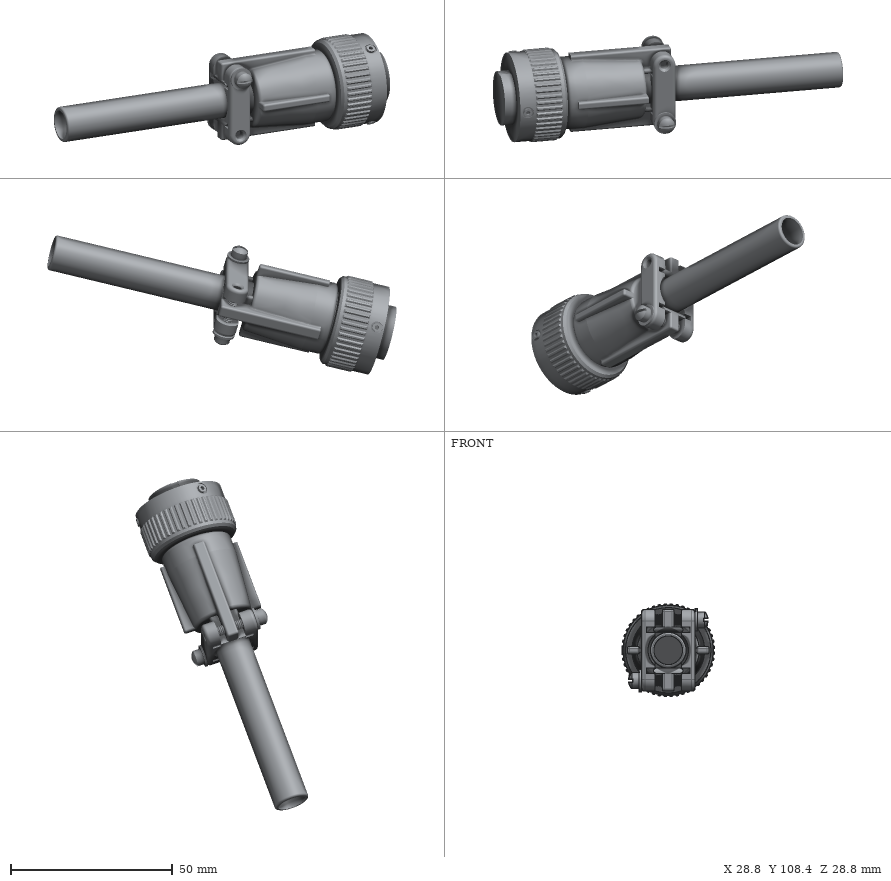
import cadquery as cq
import math


PLUG_RADIUS = 8.5
NUT_START = 3.6
KEYWAY_WIDTH = 2.3
KEYWAY_DEPTH = 0.4
NUT_RADIUS = 14.0
KNURL_START = 8.7
KNURL_END = 17.1
KNURL_RADIUS = 14.4
KNURL_ROOT_RADIUS = 13.8
KNURL_CHAMFER = 0.4
TOOTH_COUNT = 48
TOOTH_TIP_SHARE = 0.25
TOOTH_ROOT_SHARE = 0.85
NUT_END = 18.9
NUT_CHAMFER = 0.8
NECK_RADIUS = 9.2

PIN_STATION = 6.0
PIN_ANGLES = (60, 180, 300)
PIN_RADIUS = 1.3
PIN_TOP = 14.3
PIN_RECESS_RADIUS = 1.8
PIN_RECESS_DEPTH = 0.4
PIN_HOLE_RADIUS = 0.7
PIN_HOLE_DEPTH = 1.1

SHELL_START = 19.3
SHELL_RADIUS = 11.3
SHELL_FRONT_FILLET = 1.1
CONE_START = 25.9
SHELL_END = 45.0
SHELL_END_RADIUS = 9.5
SHELL_END_FILLET = 1.1

RIB_START = 22.5
RIB_HEIGHT = 12.7
RIB_FILLET = 0.7
SIDE_RIB_WIDTH = 2.4
CLAMP_RIB_WIDTH = 3.7
RIB_BASE_FILLET = 0.7

CLAMP_END = 54.4
CLAMP_LENGTH = 7.2
CLAMP_INNER = 4.1
CLAMP_OUTER = 8.3
CLAMP_EDGE_FILLET = 1.1
CLAMP_BORE_CHAMFER = 0.8
TAIL_INNER_HEIGHT = 5.5
TAIL_OUTER_HEIGHT = 7.2
TAIL_HALF_WIDTH = 4.5
SLOT_END = 6.7

SCREW_HEIGHT = 9.4
SCREW_RADIUS = 1.6
THREAD_DEPTH = 0.27
THREAD_PITCH = 0.5
WASHER_RADIUS = 3.5
WASHER_THICKNESS = 0.7
HEAD_RADIUS = 2.5
HEAD_EDGE = 11.3
HEAD_TOP = 12.4
DRIVE_SLOT_WIDTH = 0.9
DRIVE_SLOT_FLOOR = 11.1
TIP_HOLE_RADIUS = 1.3
TIP_MOUTH_RADIUS = 2.0
TIP_HOLE_DEPTH = 3.3

SLEEVE_RADIUS = 5.5
SLEEVE_BORE_RADIUS = 4.4
SLEEVE_START = CONE_START
SLEEVE_END = 108.4
SLEEVE_END_FILLET = 0.7

CLAMP_START = CLAMP_END - CLAMP_LENGTH
CLAMP_MIDDLE = (CLAMP_START + CLAMP_END) / 2
TAIL_MIDDLE = (TAIL_INNER_HEIGHT + TAIL_OUTER_HEIGHT) / 2
TAIL_THICKNESS = TAIL_OUTER_HEIGHT - TAIL_INNER_HEIGHT


def turned(points):
    """Solid of revolution about Y from (radius, station) points."""
    outline = cq.Workplane("XY").polyline([(radius, -station) for radius, station in points])
    return outline.close().revolve(360, (0, 0, 0), (0, 1, 0))


def rod(radius, start, end):
    """Cylinder on the Y axis between two stations."""
    return turned([(0, start), (radius, start), (radius, end), (0, end)])


def block(x_start, x_end, start, end, z_start, z_end):
    """Box between two X places, two stations and two heights."""
    box = cq.Workplane("XY").box(x_end - x_start, end - start, z_end - z_start, centered=False)
    return box.translate((x_start, -end, z_start))


def cross_rod(radius, x_start, x_end, station, height):
    """Cylinder parallel to X."""
    rod_circle = cq.Workplane("YZ", origin=(x_start, 0, 0)).center(-station, height).circle(radius)
    return rod_circle.extrude(x_end - x_start)


def knurl():
    """Toothed ring with chamfered ends; a groove is centred on each main axis."""
    pitch = 2 * math.pi / TOOTH_COUNT
    points = []
    for index in range(TOOTH_COUNT):
        middle = (index + 0.5) * pitch
        for offset, radius in (
            (-TOOTH_ROOT_SHARE / 2, KNURL_ROOT_RADIUS),
            (-TOOTH_TIP_SHARE / 2, KNURL_RADIUS),
            (TOOTH_TIP_SHARE / 2, KNURL_RADIUS),
            (TOOTH_ROOT_SHARE / 2, KNURL_ROOT_RADIUS),
        ):
            angle = middle + offset * pitch
            points.append((radius * math.cos(angle), radius * math.sin(angle)))
    teeth = cq.Workplane("XZ", origin=(0, -KNURL_START, 0)).polyline(points).close()
    envelope = turned([
        (0, KNURL_START),
        (KNURL_RADIUS - KNURL_CHAMFER, KNURL_START),
        (KNURL_RADIUS, KNURL_START + KNURL_CHAMFER),
        (KNURL_RADIUS, KNURL_END - KNURL_CHAMFER),
        (KNURL_RADIUS - KNURL_CHAMFER, KNURL_END),
        (0, KNURL_END),
    ])
    return teeth.extrude(KNURL_END - KNURL_START).intersect(envelope)


def add_locating_pin(head, angle):
    """Ring recess in the nut around a slightly proud, drilled pin, made on +X and turned into place."""
    recess_floor = NUT_RADIUS - PIN_RECESS_DEPTH
    recess = cross_rod(PIN_RECESS_RADIUS, recess_floor, PIN_TOP, PIN_STATION, 0)
    pin = cross_rod(PIN_RADIUS, recess_floor - PIN_RECESS_DEPTH, PIN_TOP, PIN_STATION, 0)
    hole = cross_rod(PIN_HOLE_RADIUS, PIN_TOP - PIN_HOLE_DEPTH, PIN_TOP, PIN_STATION, 0)
    recess, pin, hole = (
        tool.rotate((0, 0, 0), (0, 1, 0), -angle) for tool in (recess, pin, hole)
    )
    return head.cut(recess).union(pin).cut(hole)


def make_head():
    """Plug, coupling nut and neck with the knurl and the locating pins."""
    plug = rod(PLUG_RADIUS, 0, NUT_START)
    half_width = KEYWAY_WIDTH / 2
    keyway = block(-half_width, half_width, 0, NUT_START, PLUG_RADIUS - KEYWAY_DEPTH, PLUG_RADIUS)
    nut = rod(NUT_RADIUS, NUT_START, NUT_END).faces("<Y").chamfer(NUT_CHAMFER)
    neck = rod(NECK_RADIUS, NUT_END, SHELL_START)
    head = plug.cut(keyway).union(nut).union(neck).union(knurl())
    for angle in PIN_ANGLES:
        head = add_locating_pin(head, angle)
    return head


def shell_barrel():
    """Barrel that is straight at the front, tapers to the rear and has rounded ends."""
    barrel = turned([
        (0, SHELL_START),
        (SHELL_RADIUS, SHELL_START),
        (SHELL_RADIUS, CONE_START),
        (SHELL_END_RADIUS, SHELL_END),
        (0, SHELL_END),
    ])
    barrel = barrel.faces(">Y").edges().fillet(SHELL_FRONT_FILLET)
    return barrel.faces("<Y").edges().fillet(SHELL_END_FILLET)


def tail_plate(side):
    """Flat tongue with round sides that carries the clamp; side is +1 for the top, -1 for the bottom."""
    length = CLAMP_END - CONE_START
    outline = cq.Workplane("XZ", origin=(0, -CONE_START, side * TAIL_MIDDLE))
    return outline.slot2D(2 * TAIL_HALF_WIDTH, TAIL_THICKNESS).extrude(length)


def tail_corner(side):
    """Waste outside the rounded inner rear edge of a tongue."""
    round_middle = CLAMP_END - TAIL_THICKNESS
    heights = sorted((side * TAIL_INNER_HEIGHT, side * TAIL_OUTER_HEIGHT))
    corner = block(-TAIL_HALF_WIDTH, TAIL_HALF_WIDTH, round_middle, CLAMP_END, *heights)
    outer = side * TAIL_OUTER_HEIGHT
    return corner.cut(cross_rod(TAIL_THICKNESS, -TAIL_HALF_WIDTH, TAIL_HALF_WIDTH, round_middle, outer))


def rib(width, end):
    """Rib pointing to +Z, with its long top edges and its rear edges rounded."""
    body = block(-width / 2, width / 2, RIB_START, end, TAIL_MIDDLE, RIB_HEIGHT)
    rounded = body.faces(">Z").edges("|Y").vals() + body.faces("<Y").edges("|Z or >Z").vals()
    return body.newObject(rounded).fillet(RIB_FILLET)


def round_rib_roots(shell):
    """Fillet where the sides of the clamp ribs run into the barrel."""
    margin = 0.01
    half_width = CLAMP_RIB_WIDTH / 2
    rear = -SHELL_END - margin
    front = -RIB_START - margin
    top = RIB_HEIGHT - RIB_FILLET - margin
    roots = []
    for side in (1, -1):
        rib_side = cq.selectors.BoxSelector(
            (side * half_width - margin, rear, -top),
            (side * half_width + margin, front, top),
        )
        roots += shell.edges(rib_side).vals()
    return shell.newObject(roots).fillet(RIB_BASE_FILLET)


def ribbed_shell():
    """Barrel with four ribs and the two clamp tongues."""
    shell = shell_barrel()
    for angle in (0, 180):
        clamp_rib = rib(CLAMP_RIB_WIDTH, CLAMP_END)
        side_rib = rib(SIDE_RIB_WIDTH, SHELL_END)
        shell = shell.union(clamp_rib.rotate((0, 0, 0), (0, 1, 0), angle))
        shell = shell.union(side_rib.rotate((0, 0, 0), (0, 1, 0), angle + 90))
    for side in (1, -1):
        shell = shell.union(tail_plate(side))
    shell = round_rib_roots(shell)
    for side in (1, -1):
        shell = shell.cut(tail_corner(side))
    return shell


def clamp_half():
    """Clamp jaw on the +X side: a bar with round ends, a cable bore and two slots for the tongues."""
    bar = (
        cq.Workplane("YZ", origin=(CLAMP_INNER, 0, 0))
        .center(-CLAMP_MIDDLE, 0)
        .slot2D(2 * RIB_HEIGHT, CLAMP_LENGTH, 90)
        .extrude(CLAMP_OUTER - CLAMP_INNER)
    )
    bar = bar.faces(">X").edges().fillet(CLAMP_EDGE_FILLET)
    mouth = SLEEVE_RADIUS + CLAMP_BORE_CHAMFER
    bore = turned([
        (0, CLAMP_START),
        (SLEEVE_RADIUS, CLAMP_START),
        (SLEEVE_RADIUS, CLAMP_END - CLAMP_BORE_CHAMFER),
        (mouth, CLAMP_END),
        (0, CLAMP_END),
    ])
    bar = bar.cut(bore)
    for side in (1, -1):
        heights = sorted((side * TAIL_INNER_HEIGHT, side * TAIL_OUTER_HEIGHT))
        bar = bar.cut(block(CLAMP_INNER, SLOT_END, CLAMP_START, CLAMP_END, *heights))
    return bar.cut(tip_hole())


def tip_hole():
    """Countersunk blind hole level with the lower screw, opening on the outer face of the +X jaw."""
    countersink = TIP_MOUTH_RADIUS - TIP_HOLE_RADIUS
    outline = (
        cq.Workplane("XY")
        .moveTo(CLAMP_OUTER, 0)
        .lineTo(CLAMP_OUTER, TIP_MOUTH_RADIUS)
        .lineTo(CLAMP_OUTER - countersink, TIP_HOLE_RADIUS)
        .lineTo(CLAMP_OUTER - TIP_HOLE_DEPTH, TIP_HOLE_RADIUS)
        .lineTo(CLAMP_OUTER - TIP_HOLE_DEPTH, 0)
        .close()
    )
    hole = outline.revolve(360, (0, 0, 0), (1, 0, 0))
    return hole.translate((0, -CLAMP_MIDDLE, -SCREW_HEIGHT))


def clamp_screw():
    """Upper screw along X: threads between the jaws, then washer and domed slotted head on the +X side."""
    core = SCREW_RADIUS - THREAD_DEPTH
    points = [(-CLAMP_INNER, 0), (-CLAMP_INNER, core)]
    thread_count = round(2 * CLAMP_INNER / THREAD_PITCH)
    pitch = 2 * CLAMP_INNER / thread_count
    for index in range(thread_count):
        root = -CLAMP_INNER + index * pitch
        points.append((root + pitch / 2, SCREW_RADIUS))
        points.append((root + pitch, core))
    points.append((CLAMP_INNER, 0))
    shank = cq.Workplane("XY").polyline(points).close().revolve(360, (0, 0, 0), (1, 0, 0))

    washer_end = CLAMP_OUTER + WASHER_THICKNESS
    washer = cross_rod(WASHER_RADIUS, CLAMP_OUTER, washer_end, 0, 0)
    dome_rise = HEAD_TOP - HEAD_EDGE
    dome_radius = (HEAD_RADIUS**2 + dome_rise**2) / (2 * dome_rise)
    dome_angle = math.asin(HEAD_RADIUS / dome_radius) / 2
    dome_middle = (
        HEAD_TOP - dome_radius * (1 - math.cos(dome_angle)),
        dome_radius * math.sin(dome_angle),
    )
    screw_head = (
        cq.Workplane("XY")
        .moveTo(washer_end, 0)
        .lineTo(washer_end, HEAD_RADIUS)
        .lineTo(HEAD_EDGE, HEAD_RADIUS)
        .threePointArc(dome_middle, (HEAD_TOP, 0))
        .close()
        .revolve(360, (0, 0, 0), (1, 0, 0))
    )
    half_slot = DRIVE_SLOT_WIDTH / 2
    drive_slot = block(DRIVE_SLOT_FLOOR, HEAD_TOP, -HEAD_RADIUS, HEAD_RADIUS, -half_slot, half_slot)
    screw = shank.union(washer).union(screw_head.cut(drive_slot))
    return screw.translate((0, -CLAMP_MIDDLE, SCREW_HEIGHT))


def make_backshell():
    """Backshell with its ribs, tongues, clamp jaws and clamp screws."""
    shell = ribbed_shell()
    for angle in (0, 180):
        shell = shell.union(clamp_half().rotate((0, 0, 0), (0, 1, 0), angle))
        shell = shell.union(clamp_screw().rotate((0, 0, 0), (0, 1, 0), angle))
    return shell.cut(rod(SLEEVE_RADIUS, SLEEVE_START, CLAMP_END))


def make_sleeve():
    """Cable tube seated in the backshell, with a rounded outer edge at its free end."""
    sleeve = rod(SLEEVE_RADIUS, SLEEVE_START, SLEEVE_END)
    sleeve = sleeve.faces("<Y").edges().fillet(SLEEVE_END_FILLET)
    return sleeve.cut(rod(SLEEVE_BORE_RADIUS, SLEEVE_START, SLEEVE_END))


head = make_head()
backshell = make_backshell()
sleeve = make_sleeve()

result = cq.Compound.makeCompound([head.val(), backshell.val(), sleeve.val()])